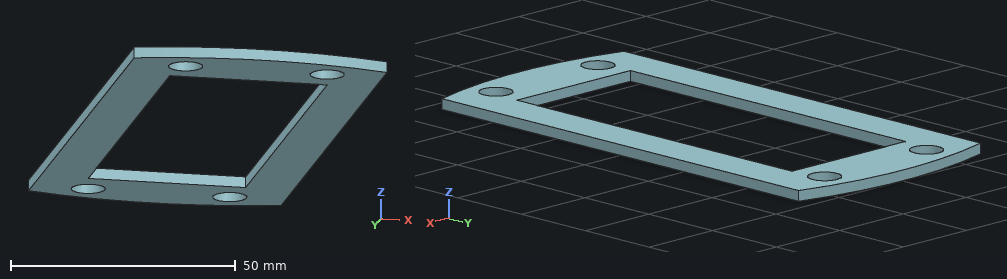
import cadquery as cq

length = 120.0
width = 57.5
thickness = 2.5
end_bulge = 4.1

window_width = 35.8
window_length = 86.2

hole_diameter = 7.5
hole_spacing_x = 32.2
hole_spacing_y = 103.0

half_width = width / 2
half_length = length / 2
corner_y = half_length - end_bulge

plate = (
    cq.Workplane("XY")
    .moveTo(-half_width, -corner_y)
    .threePointArc((0, -half_length), (half_width, -corner_y))
    .lineTo(half_width, corner_y)
    .threePointArc((0, half_length), (-half_width, corner_y))
    .close()
    .extrude(thickness)
)

window = cq.Workplane("XY").rect(window_width, window_length).extrude(thickness)

holes = (
    cq.Workplane("XY")
    .rect(hole_spacing_x, hole_spacing_y, forConstruction=True)
    .vertices()
    .circle(hole_diameter / 2)
    .extrude(thickness)
)

result = plate.cut(window).cut(holes)